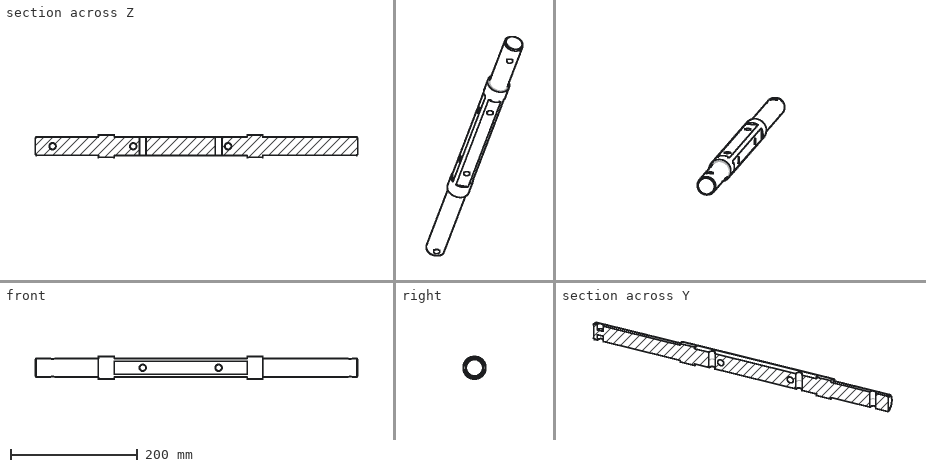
import cadquery as cq

left_journal_length = 100
collar_width = 25
flats_length = 210
right_journal_length = 150
body_length = 2 * collar_width + flats_length
shaft_length = left_journal_length + body_length + right_journal_length

journal_diameter = 30
body_diameter = 36
across_flats = 30
end_chamfer = 2
root_fillet = 0.5

hole_diameter = 10
front_hole_spacing = 120
top_hole_spacing = 150
left_hole_from_end = 27.5
right_hole_from_end = 12
right_hole_web = 10

left_end_x = -shaft_length / 2
right_end_x = shaft_length / 2
body_start_x = left_end_x + left_journal_length
body_end_x = body_start_x + body_length
flats_start_x = body_start_x + collar_width
flats_mid_x = flats_start_x + flats_length / 2


def cylinder_along_x(start_x, length, diameter):
    return cq.Workplane("YZ", origin=(start_x, 0, 0)).circle(diameter / 2).extrude(length)


def flats_cutter():
    """Ring around a square core, milling four flats between the collars."""
    return (
        cq.Workplane("YZ", origin=(flats_start_x, 0, 0))
        .circle(body_diameter)
        .rect(across_flats, across_flats)
        .extrude(flats_length)
    )


def turned_shaft():
    """Chamfered journals with the larger, flatted body between them."""
    journals = cylinder_along_x(left_end_x, shaft_length, journal_diameter)
    journals = journals.faces("<X or >X").chamfer(end_chamfer)
    body = cylinder_along_x(body_start_x, body_length, body_diameter)
    return journals.union(body.cut(flats_cutter()))


def fillet_journal_root(shaft, face_x):
    """Round the inside corner between a journal and the collar face at face_x."""
    near_face = cq.selectors.BoxSelector(
        (face_x - root_fillet, -body_diameter, -body_diameter),
        (face_x + root_fillet, body_diameter, body_diameter),
    )
    smallest_circle = cq.selectors.RadiusNthSelector(0)
    return shaft.edges(near_face).edges(smallest_circle).fillet(root_fillet)


def through_hole(plane, x):
    """Cutter crossing the whole shaft at x, normal to the given plane."""
    return (
        cq.Workplane(plane, origin=(x, 0, 0))
        .circle(hole_diameter / 2)
        .extrude(body_diameter, both=True)
    )


def opposed_blind_holes(x):
    """Cutter for two vertical blind holes with a solid web at the shaft axis."""
    web = cq.Workplane("XY", origin=(x, 0, 0)).box(journal_diameter, journal_diameter, right_hole_web)
    return through_hole("XY", x).cut(web)


result = turned_shaft()

for collar_face_x in (body_start_x, body_end_x):
    result = fillet_journal_root(result, collar_face_x)

for side in (-1, 1):
    result = result.cut(through_hole("XZ", flats_mid_x + side * front_hole_spacing / 2))
    result = result.cut(through_hole("XY", flats_mid_x + side * top_hole_spacing / 2))

result = result.cut(through_hole("XY", left_end_x + left_hole_from_end))
result = result.cut(opposed_blind_holes(right_end_x - right_hole_from_end))